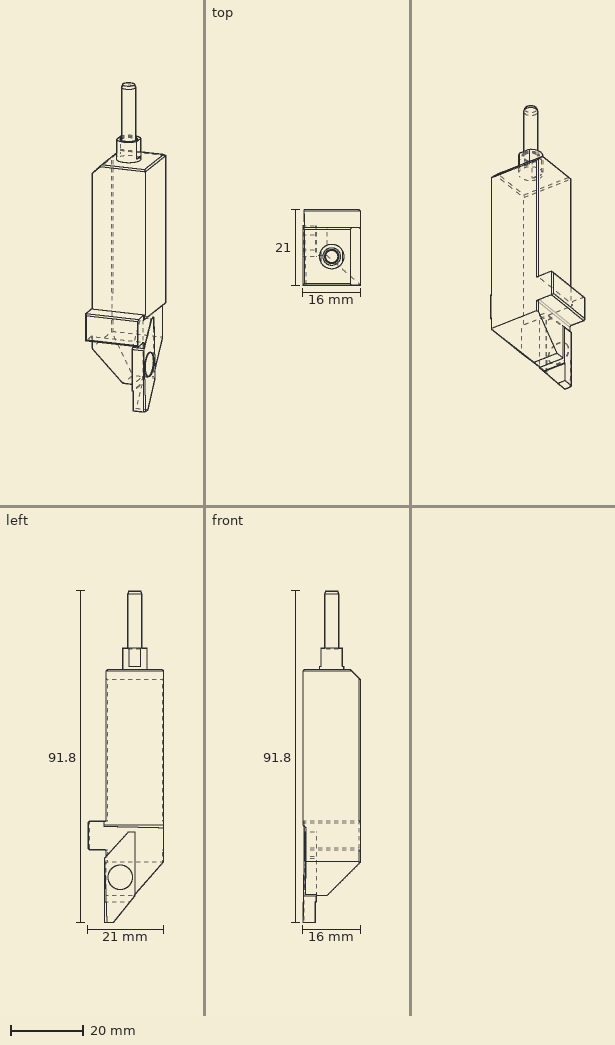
import cadquery as cq

total_height = 91.8
shank_width = 16.0
shank_depth = 16.0
shank_top = 70.2
top_chamfer = 0.5
corner_bevel = 2.85
edge_chamfer = 0.4

holder_bottom = 7.5
side_slope_start = 16.8
bevel_start = 16.9
bevel_rise = 1.14

flange_reach = 21.0
flange_bottom = 20.2
flange_top = 28.1
flange_chamfer = 0.5
flange_root_radius = 0.5

relief_front = 0.9
relief_back = 0.3
relief_top = 27.0
relief_lip_drop = 0.8
flange_relief_start = 16.5
margin = 4.6

stem_x = 8.0
stem_y = 8.0
stem_diameter = 3.95
stem_chamfer = 0.3
stem_tip_height = 0.8
collar_diameter = 6.8
collar_top = 76.0
collar_flats = 6.0
flats_bottom = shank_top + 0.8
collar_recess_diameter = 4.9
collar_recess_depth = 0.3

insert_inner = 8.0
insert_outer = 16.4
insert_top = 25.1
insert_top_end = 9.8
insert_shoulder = 17.8
insert_tip_end = 14.0
insert_bevel_drop = 0.4
insert_thickness = 3.8
tip_thickness = 3.5
tip_relief_top = 5.8
insert_lean = 0.5
insert_edge_width = 0.7
insert_edge_depth = 0.4
recess_diameter = 6.8
recess_y = 12.0
recess_z = 12.6
recess_floor = 0.5


def extrude_x(points, start, end):
    """Prism along X from an outline of (Y, Z) points."""
    return cq.Workplane("YZ", origin=(start, 0, 0)).polyline(points).close().extrude(end - start)


def extrude_y(points, start, end):
    """Prism along Y from an outline of (X, Z) points."""
    return cq.Workplane("XZ", origin=(0, start, 0)).polyline(points).close().extrude(start - end)


def extrude_z(points, start, end):
    """Prism along Z from an outline of (X, Y) points."""
    return cq.Workplane("XY", origin=(0, 0, start)).polyline(points).close().extrude(end - start)


def stem_cylinder(diameter, start, end):
    """Vertical cylinder on the stem axis."""
    return cq.Workplane("XY", origin=(stem_x, stem_y, start)).circle(diameter / 2).extrude(end - start)


def make_shank():
    block = cq.Workplane("XY").box(shank_width, shank_depth, shank_top, centered=False)
    block = block.edges("|Z and >X").chamfer(edge_chamfer)
    block = block.faces(">Z").edges().chamfer(top_chamfer)
    bevel = extrude_y(
        [
            (shank_width - corner_bevel, shank_top),
            (shank_width, shank_top - corner_bevel),
            (shank_width, shank_top),
        ],
        0,
        shank_depth,
    )
    return block.cut(bevel)


def make_flange():
    flange = cq.Workplane("XY", origin=(0, 0, flange_bottom)).box(
        shank_width, flange_reach, flange_top - flange_bottom, centered=False
    )
    return flange.faces(">Y").edges().chamfer(flange_chamfer)


def make_flange_root():
    """Concave fillet between the underside of the flange and the shank."""
    r = flange_root_radius
    return (
        cq.Workplane("YZ")
        .moveTo(shank_depth, flange_bottom)
        .lineTo(shank_depth + r, flange_bottom)
        .radiusArc((shank_depth, flange_bottom - r), -r)
        .close()
        .extrude(shank_width)
    )


def make_relief():
    """Tilted slice removed from the -X face, ending in a sloping lip on the shank."""
    face_outline = [
        (-margin, 0),
        (relief_front, 0),
        (relief_back, flange_reach),
        (-margin, flange_reach),
    ]
    slice_height = flange_top + margin
    tilted_slice = extrude_z(face_outline, 0, slice_height)
    lip = extrude_y(
        [
            (-margin, 0),
            (margin, 0),
            (margin, relief_top - margin * relief_lip_drop),
            (0, relief_top),
            (-margin, relief_top),
        ],
        0,
        flange_relief_start,
    )
    beyond_shank = cq.Workplane("XY").box(margin, flange_reach, slice_height, centered=False)
    beyond_shank = beyond_shank.translate((0, flange_relief_start, 0))
    return tilted_slice.intersect(lip.union(beyond_shank))


def make_lower_slopes():
    """Material removed below the holder, under its -Y bevel and its +X slope."""
    underside = cq.Workplane("XY").box(shank_width, flange_reach, holder_bottom, centered=False)
    front_bevel = extrude_x(
        [(0, 0), (0, bevel_start), (bevel_start / bevel_rise, 0)], 0, shank_width
    )
    side_slope = extrude_y(
        [
            (shank_width, side_slope_start),
            (shank_width - side_slope_start, 0),
            (shank_width, 0),
        ],
        0,
        flange_reach,
    )
    return underside.union(front_bevel).union(side_slope)


def make_stem():
    collar = stem_cylinder(collar_diameter, shank_top, collar_top)
    flat_band = cq.Workplane("XY", origin=(stem_x, stem_y, flats_bottom)).box(
        collar_flats, collar_diameter, collar_top - flats_bottom, centered=(True, True, False)
    )
    foot = stem_cylinder(collar_diameter, shank_top, flats_bottom)
    collar = collar.intersect(flat_band.union(foot))
    recess = stem_cylinder(collar_recess_diameter, collar_top - collar_recess_depth, collar_top)
    rod = stem_cylinder(stem_diameter, shank_top, total_height)
    rod = rod.faces(">Z").chamfer(stem_tip_height, stem_chamfer)
    return collar.cut(recess).union(rod)


def make_insert_blank():
    """Full insert outline, from X = 0 to the seat at its back."""
    bevel_end = bevel_start - bevel_rise * insert_inner - insert_bevel_drop
    outline = [
        (insert_inner, bevel_end),
        (insert_inner, insert_top),
        (insert_top_end, insert_top),
        (insert_outer, insert_shoulder),
        (insert_outer, 0),
        (insert_tip_end, 0),
    ]
    return extrude_x(outline, 0, insert_thickness)


def make_insert():
    """Insert with a leaning face, thinner tip, bevelled cutting edge and round recess."""
    side_profile = extrude_y(
        [
            (0, 0),
            (insert_lean, insert_top),
            (insert_thickness, insert_top),
            (insert_thickness, tip_relief_top),
            (tip_thickness, tip_relief_top),
            (tip_thickness, 0),
        ],
        0,
        flange_reach,
    )
    edge_bevel = extrude_z(
        [
            (0, insert_outer - insert_edge_width),
            (0, insert_outer),
            (insert_edge_depth, insert_outer),
        ],
        0,
        insert_top,
    )
    recess = cq.Workplane("YZ").center(recess_y, recess_z).circle(recess_diameter / 2)
    recess = recess.extrude(recess_floor)
    return make_insert_blank().intersect(side_profile).cut(edge_bevel).cut(recess)


def make_holder():
    body = make_shank().union(make_flange()).union(make_flange_root())
    body = body.cut(make_relief()).cut(make_lower_slopes())
    return body.cut(make_insert_blank()).union(make_stem())


holder = make_holder()
insert = make_insert()
result = cq.Compound.makeCompound([holder.val(), insert.val()])